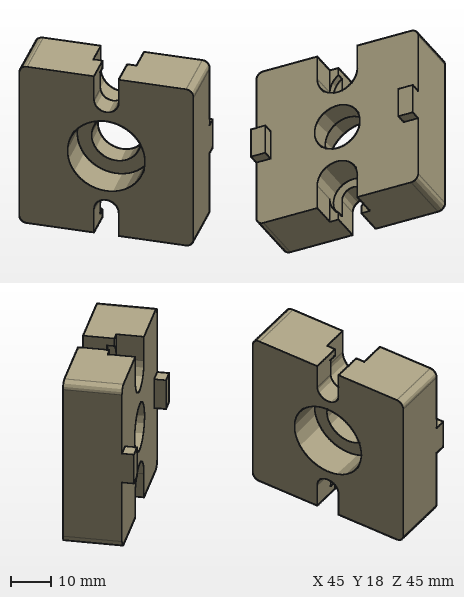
import cadquery as cq

side = 45.0
total_depth = 18.0
tab_depth = 3.0
tab_width = 4.0
tab_height = 8.1
corner_radius = 2.0
front_y = -total_depth / 2
block_depth = total_depth - tab_depth
rear_y = front_y + block_depth

bore_diameter = 12.6
counterbore_diameter = 20.0
counterbore_depth = 9.0

slot_width = 6.35
slot_length = 9.85
slot_center_z = side / 2 - slot_length + slot_width / 2
head_width = 11.1
head_slot_depth = 7.0
head_seat_depth = 9.0


def cylinder_y(diameter, start_y, length, center_z=0.0):
    """Cylinder running from start_y towards +Y."""
    base = cq.Workplane("XZ", origin=(0, start_y, center_z))
    return base.circle(diameter / 2).extrude(-length)


def box_y(width, height, start_y, length, center_x=0.0, center_z=0.0):
    """Rectangular bar running from start_y towards +Y."""
    base = cq.Workplane("XZ", origin=(center_x, start_y, center_z))
    return base.rect(width, height).extrude(-length)


def open_slot(width, start_y, length):
    """Round-ended slot that leaves the block through its top edge."""
    straight_height = side / 2 - slot_center_z
    straight_center_z = slot_center_z + straight_height / 2
    straight = box_y(width, straight_height, start_y, length, center_z=straight_center_z)
    return straight.union(cylinder_y(width, start_y, length, slot_center_z))


def screw_slot():
    """Through slot with a wider rear slot and a deeper round seat for the screw head."""
    shank = open_slot(slot_width, front_y, block_depth)
    head = open_slot(head_width, rear_y - head_slot_depth, head_slot_depth)
    seat = cylinder_y(head_width, rear_y - head_seat_depth, head_seat_depth, slot_center_z)
    return shank.union(head).union(seat)


result = box_y(side, side, front_y, block_depth).edges("|Y").fillet(corner_radius)

result = result.cut(cylinder_y(bore_diameter, front_y, block_depth))
result = result.cut(cylinder_y(counterbore_diameter, front_y, counterbore_depth))

top_slot = screw_slot()
result = result.cut(top_slot).cut(top_slot.mirror("XY"))

for direction in (-1, 1):
    tab_x = direction * (side - tab_width) / 2
    result = result.union(box_y(tab_width, tab_height, rear_y, tab_depth, center_x=tab_x))